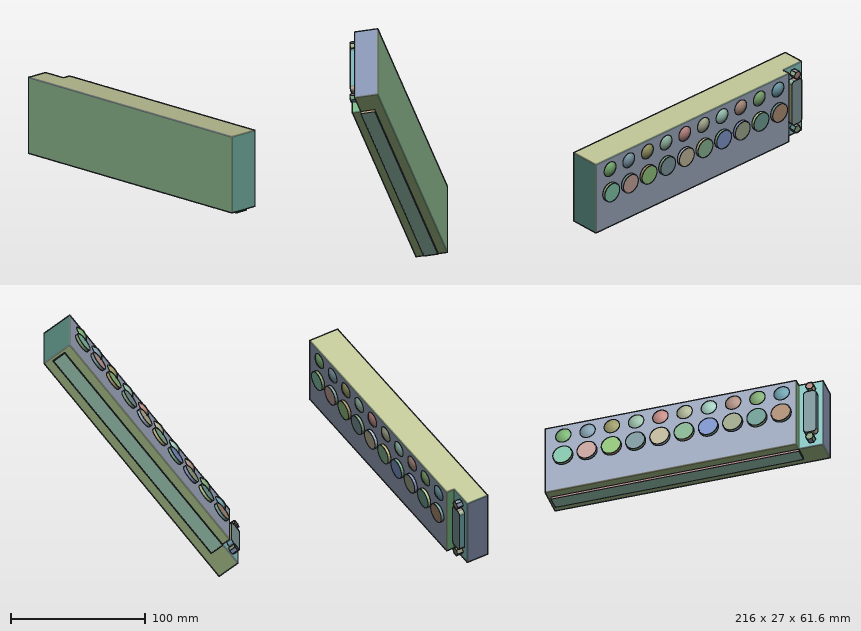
import cadquery as cq

body_length = 216.0
body_depth = 24.6
body_height = 59.6
edge_break = 0.5
recess_length = 19.0
recess_floor = 18.1

strip_drop = 2.0
strip_end_gap = 2.5
strip_front = 7.1
strip_back = 18.0

connector_x = 9.0
connector_width = 10.0
connector_length = 37.8
connector_rise = 4.3
connector_corner = 2.5
post_diameter = 6.5
post_rise = 5.0
post_spacing = 46.9

channel_count = 10
channel_pitch = 19.0
first_channel_x = 30.5
button_diameter = 15.1
channel_rise = 2.4
button_z = 30.7
dome_diameter = 12.0
dome_drop = 9.7
dome_z = body_height - dome_drop

overlap = 1.0


def on_plane_facing_back(y):
    """Sketch plane at depth y facing +Y, with local x along -X and local y along Z."""
    return cq.Workplane(cq.Plane(origin=(0, y, 0), xDir=(-1, 0, 0), normal=(0, 1, 0)))


def make_body():
    block = cq.Workplane("XY").box(body_length, body_depth, body_height, centered=False)
    recess = (
        cq.Workplane("XY")
        .box(recess_length, body_depth, body_height, centered=False)
        .translate((0, recess_floor, 0))
    )
    return block.cut(recess).edges().fillet(edge_break)


def make_strip():
    strip_length = body_length - recess_length - strip_end_gap
    return (
        cq.Workplane("XY")
        .box(strip_length, strip_back - strip_front, strip_drop + overlap, centered=False)
        .translate((recess_length, strip_front, -strip_drop))
    )


def make_connector():
    center = (-connector_x, body_height / 2)
    shell = (
        on_plane_facing_back(recess_floor - overlap)
        .center(*center)
        .rect(connector_width, connector_length)
        .extrude(connector_rise + overlap)
        .edges("|Y")
        .fillet(connector_corner)
    )
    posts = (
        on_plane_facing_back(recess_floor - overlap)
        .center(*center)
        .pushPoints([(0, -post_spacing / 2), (0, post_spacing / 2)])
        .polygon(6, post_diameter)
        .extrude(post_rise + overlap)
    )
    return shell.union(posts)


def make_channel(x):
    button = (
        on_plane_facing_back(body_depth - overlap)
        .center(-x, button_z)
        .circle(button_diameter / 2)
        .extrude(channel_rise + overlap)
    )
    dome_radius = ((dome_diameter / 2) ** 2 + channel_rise**2) / (2 * channel_rise)
    sphere_y = body_depth + channel_rise - dome_radius
    dome = cq.Workplane("XY").sphere(dome_radius).translate((x, sphere_y, dome_z))
    return button.union(dome)


result = make_body().union(make_strip()).union(make_connector())
for index in range(channel_count):
    result = result.union(make_channel(first_channel_x + index * channel_pitch))